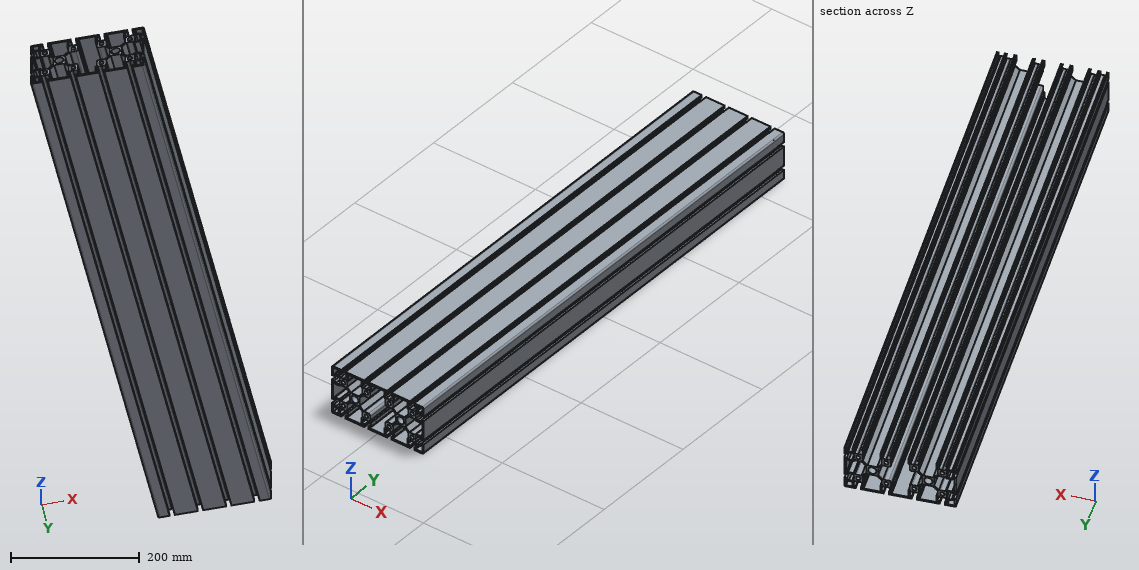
import cadquery as cq
import math

WIDTH = 180.0
HEIGHT = 90.0
LENGTH = 914.4
CORNER_RADIUS = 3.0

MODULE = HEIGHT
SLOT_PITCH = MODULE / 2
CORNER_OFFSET = SLOT_PITCH / 2

WALL = 3.0

SLOT_OPENING = 8.3
SLOT_INNER_WIDTH = 15.5
SLOT_FLOOR_WIDTH = 11.5
LIP_DEPTH = 4.5
TAPER_END_DEPTH = 7.5
SHOULDER_DEPTH = 12.25
SLOT_DEPTH = 15.0
SLOT_WALL = 2.0

GROOVE_WIDTH = 4.5
GROOVE_DEPTH = 0.7

BOSS_SIDE = 2 * (CORNER_OFFSET - SLOT_DEPTH)
BOSS_RADIUS = 3.75
BOSS_HOLE_DIAMETER = 7.0

CORE_SIDE = 19.25
CORE_RADIUS = 2.5
CORE_HOLE_DIAMETER = 13.52

WEB = 2.5

CORE_CENTRES = [(-MODULE / 2, 0), (MODULE / 2, 0)]
BOSS_CENTRES = [
    (core_x + side_x * CORNER_OFFSET, side_z * CORNER_OFFSET)
    for core_x, _ in CORE_CENTRES
    for side_x in (-1, 1)
    for side_z in (-1, 1)
]


def profile_plane():
    """Section plane with X to the right, Z up and extrusion towards -Y."""
    return cq.Workplane("XZ", origin=(0, LENGTH / 2, 0))


def extruded_rectangle(width, height, centres, radius=0):
    bars = profile_plane().pushPoints(centres).rect(width, height).extrude(LENGTH)
    if radius:
        bars = bars.edges("|Y").fillet(radius)
    return bars


def slot_bar(half_outline):
    """Bar symmetric about x = 0, its (across, depth) points measured from the top face."""
    mirrored = [(-across, depth) for across, depth in reversed(half_outline) if across > 0]
    points = [(across, HEIGHT / 2 - depth) for across, depth in half_outline + mirrored]
    return profile_plane().polyline(points).close().extrude(LENGTH)


def slot_cavity():
    return slot_bar([
        (SLOT_OPENING / 2, 0),
        (SLOT_OPENING / 2, LIP_DEPTH),
        (SLOT_INNER_WIDTH / 2, TAPER_END_DEPTH),
        (SLOT_INNER_WIDTH / 2, SHOULDER_DEPTH),
        (SLOT_FLOOR_WIDTH / 2, SLOT_DEPTH),
        (GROOVE_WIDTH / 2, SLOT_DEPTH),
        (0, SLOT_DEPTH + GROOVE_DEPTH),
    ])


def slot_housing():
    """Solid around a slot; the cavity cut later leaves only its walls."""
    outer_half = SLOT_INNER_WIDTH / 2 + SLOT_WALL
    taper_rise = TAPER_END_DEPTH - LIP_DEPTH
    return slot_bar([
        (outer_half - taper_rise, 0),
        (outer_half - taper_rise, LIP_DEPTH - SLOT_WALL / 2),
        (outer_half, TAPER_END_DEPTH - SLOT_WALL / 2),
        (outer_half, SLOT_DEPTH),
        (BOSS_SIDE / 2, SLOT_DEPTH + SLOT_WALL),
    ])


def at_every_slot(bar):
    """Copies of a bar over the top face at all slots of the four faces."""
    copies = []
    for x, z in BOSS_CENTRES:
        upright = bar if z > 0 else bar.rotate((0, 0, 0), (0, 1, 0), 180)
        copies.append(upright.translate((x, 0, 0)))
    for side in (-1, 1):
        turned = bar.rotate((0, 0, 0), (0, 1, 0), 90 * side)
        outward = side * (WIDTH - HEIGHT) / 2
        for z in (-CORNER_OFFSET, CORNER_OFFSET):
            copies.append(turned.translate((outward, 0, z)))
    return copies


def shell():
    outside = extruded_rectangle(WIDTH, HEIGHT, [(0, 0)], CORNER_RADIUS)
    inside = extruded_rectangle(WIDTH - 2 * WALL, HEIGHT - 2 * WALL, [(0, 0)])
    return outside.cut(inside)


def webs():
    """Crossed diagonal bars through each core, ending at the boss centres."""
    span = 2 * math.hypot(CORNER_OFFSET, CORNER_OFFSET)
    bars = []
    for x, z in CORE_CENTRES:
        for angle in (-45, 45):
            bar = extruded_rectangle(span, WEB, [(0, 0)])
            bars.append(bar.rotate((0, 0, 0), (0, 1, 0), angle).translate((x, 0, z)))
    return bars


def holes(diameter, centres):
    return profile_plane().pushPoints(centres).circle(diameter / 2).extrude(LENGTH)


profile = shell()
for bar in at_every_slot(slot_housing()) + webs():
    profile = profile.union(bar)
profile = profile.union(extruded_rectangle(BOSS_SIDE, BOSS_SIDE, BOSS_CENTRES, BOSS_RADIUS))
profile = profile.union(extruded_rectangle(CORE_SIDE, CORE_SIDE, CORE_CENTRES, CORE_RADIUS))
for cavity in at_every_slot(slot_cavity()):
    profile = profile.cut(cavity)
profile = profile.cut(holes(BOSS_HOLE_DIAMETER, BOSS_CENTRES))
result = profile.cut(holes(CORE_HOLE_DIAMETER, CORE_CENTRES))